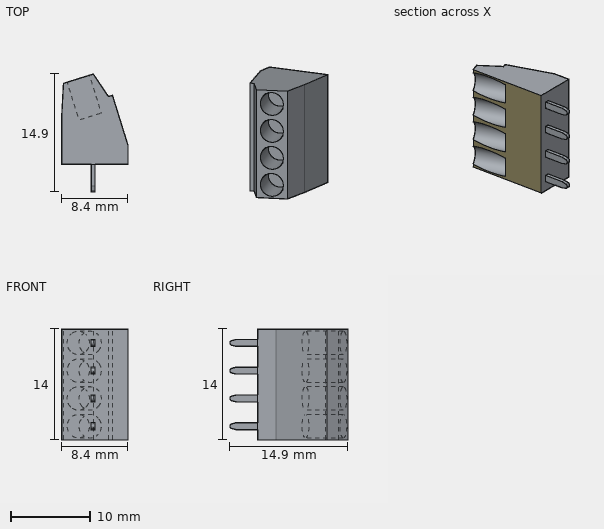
import cadquery as cq
import math

pole_count = 4
pole_pitch = 3.5
block_height = pole_count * pole_pitch

body_width = 8.4
body_length = 11.4
left_side_height = 6.05
right_side_height = 2.35
peak_x = 4.0
entry_edge_x = 0.22
entry_edge_y = 10.22
notch_x = 5.9
notch_y = 8.57
shoulder_x = 6.42
shoulder_y = 8.72

entry_diameter = 2.95
entry_depth = 5.0

pin_centre_x = 3.97
pin_thickness = 0.5
pin_width = 0.9
pin_length = 3.5
pin_straight_length = 2.7
pin_tip_radius = 0.31
pin_taper_angle = math.radians(15)


def pole_centre_z(pole):
    return (pole + 0.5) * pole_pitch


def make_body():
    outline = [
        (0, 0),
        (body_width, 0),
        (body_width, right_side_height),
        (shoulder_x, shoulder_y),
        (notch_x, notch_y),
        (peak_x, body_length),
        (entry_edge_x, entry_edge_y),
        (0, left_side_height),
    ]
    return cq.Workplane("XY").polyline(outline).close().extrude(block_height)


def make_entry_bore(centre_z):
    run = peak_x - entry_edge_x
    rise = body_length - entry_edge_y
    face_centre = cq.Vector(
        (entry_edge_x + peak_x) / 2,
        (entry_edge_y + body_length) / 2,
        centre_z,
    )
    inward = cq.Vector(rise, -run, 0)
    bore = cq.Solid.makeCylinder(entry_diameter / 2, entry_depth, face_centre, inward)
    return cq.Workplane(obj=bore)


def make_pin(centre_z):
    half_width = pin_width / 2
    arc_half_width = pin_tip_radius * math.cos(pin_taper_angle)
    arc_start_y = -pin_length + pin_tip_radius * (1 - math.sin(pin_taper_angle))
    return (
        cq.Workplane("YZ", origin=(pin_centre_x, 0, centre_z))
        .moveTo(0, -half_width)
        .lineTo(-pin_straight_length, -half_width)
        .lineTo(arc_start_y, -arc_half_width)
        .threePointArc((-pin_length, 0), (arc_start_y, arc_half_width))
        .lineTo(-pin_straight_length, half_width)
        .lineTo(0, half_width)
        .close()
        .extrude(pin_thickness / 2, both=True)
    )


result = make_body()
for pole in range(pole_count):
    z = pole_centre_z(pole)
    result = result.cut(make_entry_bore(z)).union(make_pin(z))